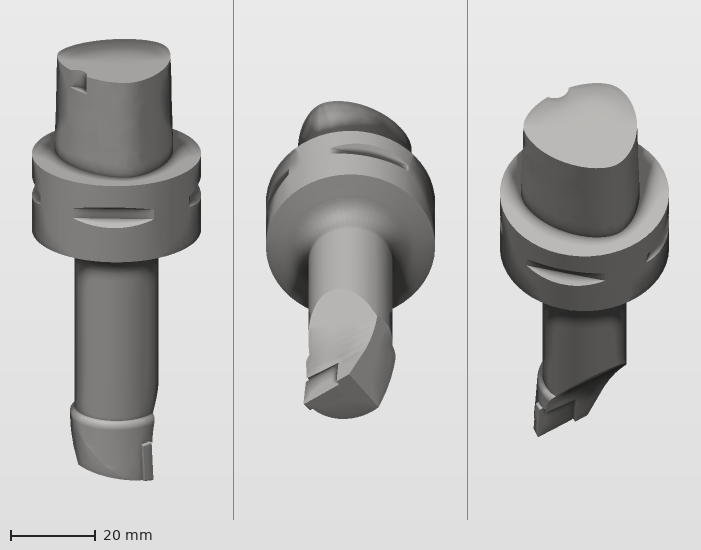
import cadquery as cq
import math


taper_height = 24.0
taper_radius = 14.0
taper_half_angle = math.atan(1 / 40)
lobe_height = 1.0
taper_curve_points = 48
notch_radius = 3.3
notch_center_y = -13.9
notch_depth = 4.4

flange_radius = 40.0 / 2
flange_bottom_z = -19.5
flange_cone_angle = math.radians(13)

groove_count = 4
groove_z = -8.1
groove_floor_distance = 17.6
groove_floor_width = 2.5
groove_wall_angle = math.radians(30)

bar_radius = 20.0 / 2
neck_fillet = 5.7
bar_bottom_z = -64.5

shoulder_mid_radius = 10.7
shoulder_mid_z = -65.1
shoulder_radius = 11.18
shoulder_bottom_z = -66.4
head_end_radius = 12.1

clearance_radius = 11.39
clearance_offset = 0.6

flank_top_z = -62.4
flank_bottom_x = -0.2
flank_bottom_z = -78.5
chip_face_y = 1.0
chip_curve_bottom_z = -73.3
chip_ramp_end = (3.7, -63.0)
chip_ramp_start = (10.0, -53.6)
end_slope_x = 0.12
end_slope_y = 0.115
tool_size = 62.4

insert_edge = 9.7
insert_thickness = 2.4
insert_corner_angle = 80
insert_side_lean = 4
insert_relief = 7
insert_nose_radius = 0.4
insert_bottom_z = taper_height - 104
insert_nose_x = 12.9
opening_overrun = 2.1


def taper_outline(mean_radius):
    """Three-lobed closed curve with one lobe pointing to +Y."""
    points = []
    for i in range(taper_curve_points):
        a = 2 * math.pi * i / taper_curve_points
        along = mean_radius * math.cos(a) + lobe_height * (2 * math.cos(2 * a) - math.cos(4 * a))
        across = mean_radius * math.sin(a) - lobe_height * (2 * math.sin(2 * a) + math.sin(4 * a))
        points.append((-across, along))
    return points


def make_taper():
    top_radius = taper_radius - taper_height * math.tan(taper_half_angle)
    taper = (
        cq.Workplane("XY")
        .spline(taper_outline(taper_radius), periodic=True).close()
        .workplane(offset=taper_height)
        .spline(taper_outline(top_radius), periodic=True).close()
        .loft(ruled=True)
    )
    notch = (
        cq.Workplane("XY", origin=(0, notch_center_y, taper_height - notch_depth))
        .circle(notch_radius).extrude(notch_depth)
    )
    return taper.cut(notch)


def make_flange_and_bar():
    """Flange, cone, neck fillet and bar as one revolved profile."""
    fillet_center_r = bar_radius + neck_fillet
    cone_end_r = fillet_center_r - neck_fillet * math.sin(flange_cone_angle)
    cone_end_z = flange_bottom_z - (flange_radius - cone_end_r) * math.tan(flange_cone_angle)
    fillet_end_z = cone_end_z - neck_fillet * math.cos(flange_cone_angle)
    return (
        cq.Workplane("XZ")
        .moveTo(0, 0)
        .lineTo(flange_radius, 0)
        .lineTo(flange_radius, flange_bottom_z)
        .lineTo(cone_end_r, cone_end_z)
        .tangentArcPoint((bar_radius, fillet_end_z), relative=False)
        .lineTo(bar_radius, bar_bottom_z)
        .lineTo(0, bar_bottom_z)
        .close()
        .revolve(360, (0, 0, 0), (0, 1, 0))
    )


def make_groove(angle):
    """Cutter for one gripper groove: flat floor with walls flaring outwards."""
    outer = flange_radius + 1
    half_floor = groove_floor_width / 2
    half_mouth = half_floor + (outer - groove_floor_distance) * math.tan(groove_wall_angle)
    return (
        cq.Workplane("XZ")
        .polyline([
            (groove_floor_distance, groove_z - half_floor),
            (outer, groove_z - half_mouth),
            (outer, groove_z + half_mouth),
            (groove_floor_distance, groove_z + half_floor),
        ])
        .close()
        .extrude(flange_radius, both=True)
        .rotate((0, 0, 0), (0, 0, 1), angle)
    )


def make_head():
    """Slightly conical enlarged head, trimmed by the offset clearance cylinder."""
    blank_bottom_z = insert_bottom_z - 1
    head = (
        cq.Workplane("XZ")
        .moveTo(0, bar_bottom_z)
        .lineTo(bar_radius, bar_bottom_z)
        .threePointArc((shoulder_mid_radius, shoulder_mid_z), (shoulder_radius, shoulder_bottom_z))
        .lineTo(head_end_radius, blank_bottom_z)
        .lineTo(0, blank_bottom_z)
        .close()
        .revolve(360, (0, 0, 0), (0, 1, 0))
    )
    clearance = (
        cq.Workplane("XY", origin=(clearance_offset, 0, blank_bottom_z))
        .circle(clearance_radius).extrude(bar_bottom_z - blank_bottom_z)
    )
    return head.intersect(clearance)


def make_half_space(origin, normal, x_dir):
    """Large block on the side of a plane that its normal points to."""
    plane = cq.Plane(origin=origin, xDir=x_dir, normal=normal)
    return cq.Workplane(plane).rect(tool_size, tool_size).extrude(tool_size)


def make_flank_cutter():
    """Everything to the -X side of the flat slanted flank."""
    run = flank_bottom_x + bar_radius
    drop = flank_top_z - flank_bottom_z
    return make_half_space((flank_bottom_x, 0, flank_bottom_z), (-drop, 0, -run), (0, 1, 0))


def make_end_cutter():
    """Everything below the end face, which slopes in both X and Y."""
    origin = (flank_bottom_x, chip_face_y, flank_bottom_z)
    return make_half_space(origin, (-end_slope_x, -end_slope_y, -1), (1, 0, -end_slope_x))


def make_chip_pocket():
    """Ramp from the bar surface that curves into the flat chip face."""
    ramp_slope = (chip_ramp_start[1] - chip_ramp_end[1]) / (chip_ramp_start[0] - chip_ramp_end[0])
    outer_y = head_end_radius + 1
    outer_z = chip_ramp_start[1] + (outer_y - chip_ramp_start[0]) * ramp_slope
    lower_z = insert_bottom_z - 2.1
    return (
        cq.Workplane("YZ")
        .moveTo(outer_y, outer_z)
        .lineTo(*chip_ramp_end)
        .tangentArcPoint((chip_face_y, chip_curve_bottom_z), relative=False)
        .lineTo(chip_face_y, lower_z)
        .lineTo(outer_y, lower_z)
        .close()
        .extrude(tool_size, both=True)
    )


def insert_outline():
    """Rhombus corners in (x, z), starting at the cutting corner."""
    lean = math.radians(90 + insert_side_lean)
    turned = math.radians(90 + insert_side_lean + insert_corner_angle)
    center_distance = insert_nose_radius / math.sin(math.radians(insert_corner_angle / 2))
    bisector = (lean + turned) / 2
    corner_x = insert_nose_x - insert_nose_radius - center_distance * math.cos(bisector)
    corner_z = insert_bottom_z + insert_nose_radius - center_distance * math.sin(bisector)
    side = (insert_edge * math.cos(lean), insert_edge * math.sin(lean))
    end = (insert_edge * math.cos(turned), insert_edge * math.sin(turned))
    return [
        (corner_x, corner_z),
        (corner_x + side[0], corner_z + side[1]),
        (corner_x + side[0] + end[0], corner_z + side[1] + end[1]),
        (corner_x + end[0], corner_z + end[1]),
    ]


def make_insert():
    """Rhombic insert with its rake face at y = 0, tapering towards -Y."""
    body = (
        cq.Workplane("XZ").polyline(insert_outline()).close()
        .extrude(insert_thickness, taper=insert_relief)
    )
    return body.edges("not(#Y)").fillet(insert_nose_radius)


def make_insert_opening():
    """Open space in front of the rake face, running out past the cutting edges."""
    nose, upper, inner, lower = insert_outline()
    outline = [
        (nose[0] + opening_overrun, nose[1] - opening_overrun),
        (upper[0] + opening_overrun, upper[1]),
        inner,
        (lower[0], lower[1] - opening_overrun),
    ]
    return cq.Workplane("XZ").polyline(outline).close().extrude(-chip_face_y)


def make_holder(insert):
    holder = make_flange_and_bar().union(make_taper()).union(make_head())
    for i in range(groove_count):
        holder = holder.cut(make_groove(360 / groove_count * (i + 0.5)))
    for cutter in (make_flank_cutter(), make_end_cutter(), make_chip_pocket(), make_insert_opening()):
        holder = holder.cut(cutter)
    return holder.cut(insert)


insert = make_insert()
holder = make_holder(insert)
result = cq.Compound.makeCompound([holder.val(), insert.val()])